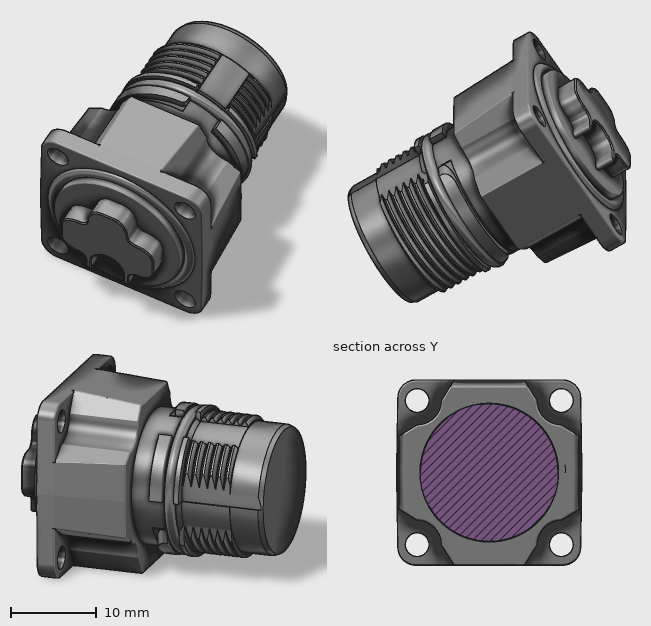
import cadquery as cq
import math

total_length = 30.4
disc_front = 2.4
flange_front = 3.53
flange_back = 5.8
body_back = 14.35
lug_front = 16.57
lug_back = 18.33
collar_front = 19.82
thread_front = 20.43
thread_back = 26.35

flange_size = 21.6
flange_half = flange_size / 2
side_ridge = 0.18
flange_corner_radius = 2.15
flange_edge_fillet = 0.25
hole_offset = 8.4
hole_radius = 1.37

body_taper = 0.7
body_edge_fillet = 0.25
arm_edge_fillet = 0.18
scoop_radius = 2.83
arm_half_width = 4.07

disc_radius = 8.33
disc_edge_fillet = 0.12
neck_radius = 8.1
undercut_radius = 8.03
barrel_radius = 7.78
collar_radius = 7.72
collar_bevel_width = 0.25
collar_bevel_length = 0.58
barrel_flat = 7.57
ring_radius = 8.88
lug_edge_fillet = 0.12
face_seal_radius = 9.03
face_seal_section = 0.7
face_seal_y = 3.7
barrel_seal_radius = 8.12
barrel_seal_section = 0.67
barrel_seal_y = 19.1

thread_pitch = 1.0
thread_radius = 8.33
thread_root_radius = 7.8
thread_crest_width = 0.25
groove_floor_width = 0.1
thread_turns = 9
groove_start = 18.57

top_gap_x = 1.1
top_gap_angle = 53.0
side_gap_lean = 8.0
lead_in_radius = 1.15
small_lead_in_radius = 0.55
lug_thickness = 1.55
ramp_end_thickness = 1.15

lobe_top = 6.1
lobe_flat_half = 0.8
lobe_side_radius = 2.7
lobe_half_width = 2.65
wing_half_width = 6.08
wing_half_height = 2.8
wing_side_radius = 1.65
wing_flat_half = 1.0
inner_corner_radius = 1.0
leg_outer = 2.83
leg_end = -5.23
arch_radius = 2.15
arch_top = -1.52
insert_edge_chamfer = 0.15

overlap = 0.3
reach = 18.25


def section_at(y):
    """Sketching plane across the axis, with X to the right and Z up."""
    return cq.Workplane("XZ", origin=(0, y, 0))


def prism(outline, y_start, y_end):
    """Straight solid along +Y from an outline given as (x, z) points."""
    return section_at(y_start).polyline(outline).close().extrude(y_start - y_end)


def cylinder(radius, y_start, y_end):
    return section_at(y_start).circle(radius).extrude(y_start - y_end)


def tube(outer_radius, inner_radius, y_start, y_end):
    return section_at(y_start).circle(outer_radius).circle(inner_radius).extrude(y_start - y_end)


def seal(ring_centre_radius, section_radius, y):
    """Ring of round section about the Y axis."""
    section = cq.Workplane("XY").moveTo(-ring_centre_radius, y).circle(section_radius)
    return section.revolve(360, (0, 0, 0), (0, 1, 0))


def fillet_edges_at(solid, points, radius):
    """Round the edges whose middles lie nearest to the given points."""
    for point in points:
        solid = solid.edges(cq.selectors.NearestToPointSelector(point)).fillet(radius)
    return solid


def square_outline(half):
    """Outline of the given half width; left and right sides are ridged, the bottom stays in place."""
    corner_x = half - side_ridge
    right = [(corner_x, -flange_half), (half, 0), (corner_x, half)]
    left = [(-x, z) for x, z in reversed(right)]
    return right + left


def make_flange():
    flange = prism(square_outline(flange_half), flange_front, flange_back)
    middle_y = (flange_front + flange_back) / 2
    corners = [(x * flange_half, middle_y, z * flange_half) for x in (-1, 1) for z in (-1, 1)]
    flange = fillet_edges_at(flange, corners, flange_corner_radius)
    return flange.faces("<Y or >Y").edges().fillet(flange_edge_fillet)


def scoop(x_side, z_side):
    """Clearance behind one screw hole: a round trough that opens outwards in both directions."""
    near = hole_offset - scoop_radius
    diagonal = hole_offset - scoop_radius * math.sqrt(0.5)
    slope = (near - arm_half_width) / (flange_half - hole_offset)
    far = near - slope * (reach - hole_offset)

    def at(x, z):
        return (x_side * x, z_side * z)

    return (
        section_at(flange_back)
        .moveTo(*at(hole_offset, near))
        .threePointArc(at(diagonal, diagonal), at(near, hole_offset))
        .lineTo(*at(far, reach))
        .lineTo(*at(reach, reach))
        .lineTo(*at(reach, far))
        .close()
        .extrude(flange_back - total_length)
    )


def make_body():
    foot_start = flange_back - flange_edge_fillet - 0.05
    foot = prism(square_outline(flange_half), foot_start, flange_back)
    foot_width = 2 * arm_half_width
    foot_arms = section_at(foot_start).rect(foot_width, 2 * reach).extrude(foot_start - flange_back)
    foot_arms = foot_arms.union(
        section_at(foot_start).rect(2 * reach, foot_width).extrude(foot_start - flange_back)
    )
    foot = foot.intersect(foot_arms)

    body = (
        section_at(flange_back)
        .polyline(square_outline(flange_half))
        .close()
        .workplane(offset=flange_back - body_back)
        .polyline(square_outline(flange_half - body_taper))
        .close()
        .loft(ruled=True)
    )
    signs = [(x, z) for x in (-1, 1) for z in (-1, 1)]
    for x_side, z_side in signs:
        body = body.cut(scoop(x_side, z_side))

    middle_y = (flange_back + body_back) / 2
    near = hole_offset - scoop_radius
    arm_edges = []
    for x_side, z_side in signs:
        for x, z in ((near, hole_offset), (arm_half_width, flange_half)):
            arm_edges.append((x_side * x, middle_y, z_side * z))
            arm_edges.append((x_side * z, middle_y, z_side * x))
    body = fillet_edges_at(body, arm_edges, arm_edge_fillet)
    body = body.faces(">Y").edges().fillet(body_edge_fillet)
    return body.union(foot)


def two_arc_corner(start, end, end_radius):
    """Corner from level at start to upright at end, made of two arcs that blend smoothly.

    Returns the point where the arcs meet and the radius of the first arc.
    """
    across = end[0] - end_radius - start[0]
    rise = end[1] - start[1]
    start_radius = (end_radius**2 - across**2 - rise**2) / (2 * (rise + end_radius))
    reach_past = end_radius / (start_radius - end_radius)
    joint_x = end[0] - end_radius + across * reach_past
    joint_z = end[1] + (end[1] - start[1] + start_radius) * reach_past
    return (joint_x, joint_z), start_radius


def make_insert():
    """Clover-shaped key with two thin legs; the right half is drawn and mirrored."""
    inner = inner_corner_radius
    leg_radius = (leg_outer - arch_radius) / 2
    leg_middle = (leg_outer + arch_radius) / 2
    arch_centre = arch_top - arch_radius
    arch_step = arch_radius * math.sqrt(0.5)

    lobe_start = (lobe_flat_half, lobe_top)
    lobe_end = (lobe_half_width, wing_half_height + inner)
    lobe_joint, lobe_shoulder_radius = two_arc_corner(lobe_start, lobe_end, lobe_side_radius)

    wing_start = (leg_outer + inner, wing_half_height)
    wing_end = (wing_half_width, wing_flat_half)
    wing_joint, wing_shoulder_radius = two_arc_corner(wing_start, wing_end, wing_side_radius)

    half = (
        section_at(0)
        .moveTo(0, lobe_top)
        .lineTo(*lobe_start)
        .radiusArc(lobe_joint, lobe_shoulder_radius)
        .radiusArc(lobe_end, lobe_side_radius)
        .radiusArc((lobe_half_width + inner, wing_half_height), -inner)
        .lineTo(*wing_start)
        .radiusArc(wing_joint, wing_shoulder_radius)
        .radiusArc(wing_end, wing_side_radius)
        .lineTo(wing_end[0], -wing_end[1])
        .radiusArc((wing_joint[0], -wing_joint[1]), wing_side_radius)
        .radiusArc((wing_start[0], -wing_start[1]), wing_shoulder_radius)
        .radiusArc((leg_outer, -wing_half_height - inner), -inner)
        .lineTo(leg_outer, leg_end + leg_radius)
        .threePointArc((leg_middle, leg_end), (arch_radius, leg_end + leg_radius))
        .lineTo(arch_radius, arch_centre)
        .threePointArc((arch_step, arch_centre + arch_step), (0, arch_top))
        .close()
        .extrude(-disc_front - overlap)
    )
    insert = half.union(half.mirror("YZ")).clean()
    return insert.faces("<Y").edges().chamfer(insert_edge_chamfer)


def make_barrel():
    """Disc, neck and barrel in one turned profile, with two flats on the barrel."""
    core_radius = barrel_flat - overlap
    turned = (
        cq.Workplane("XY")
        .moveTo(0, disc_front)
        .lineTo(disc_radius, disc_front)
        .lineTo(disc_radius, flange_front + overlap)
        .lineTo(neck_radius, flange_front + overlap)
        .lineTo(neck_radius, collar_front)
        .lineTo(barrel_radius, thread_front)
        .lineTo(core_radius, thread_front)
        .lineTo(core_radius, thread_back)
        .lineTo(collar_radius, thread_back)
        .lineTo(collar_radius, total_length - collar_bevel_length)
        .lineTo(collar_radius - collar_bevel_width, total_length)
        .lineTo(0, total_length)
        .close()
        .revolve(360, (0, 0, 0), (0, 1, 0))
    )
    turned = turned.faces("<Y").edges().fillet(disc_edge_fillet)
    undercut = tube(ring_radius, undercut_radius, lug_front, lug_back).cut(make_gaps())
    return turned.cut(make_flats()).cut(undercut)


def make_flats():
    """Space beside the upper half of the barrel, outside its two flats."""
    outline = [(barrel_flat, 0), (reach, 0), (reach, reach), (barrel_flat, reach)]
    right = prism(outline, thread_front, total_length)
    return right.union(right.mirror("YZ"))


def make_gaps():
    """Three spaces along the barrel where the thread and the rings are left out."""
    angle = math.radians(top_gap_angle)
    top_outline = [
        (top_gap_x, top_gap_x * math.tan(angle)),
        (top_gap_x, reach),
        (reach, reach * math.tan(angle)),
    ]
    lean = reach * math.tan(math.radians(side_gap_lean))
    side_outline = [(barrel_flat, 0), (reach, 0), (reach, -reach), (barrel_flat - lean, -reach)]
    top_gap = prism(top_outline, lug_front - overlap, total_length)
    side_gap = prism(side_outline, lug_front - overlap, total_length)
    return top_gap.union(side_gap).union(side_gap.mirror("YZ"))


def make_thread():
    """Threaded length of the barrel: a helical groove, interrupted by the gaps and the flats."""
    depth = thread_radius - thread_root_radius
    floor_half = groove_floor_width / 2
    mouth_half = (thread_pitch - thread_crest_width) / 2
    run_on = 0.1
    outer_half = mouth_half + (mouth_half - floor_half) * run_on / depth
    outer = thread_radius + run_on
    groove_section = [
        (thread_root_radius, -floor_half),
        (outer, -outer_half),
        (outer, outer_half),
        (thread_root_radius, floor_half),
    ]
    helix = cq.Wire.makeHelix(thread_pitch, thread_pitch, thread_root_radius)
    turn = (
        cq.Workplane("XZ")
        .polyline(groove_section)
        .close()
        .sweep(cq.Workplane(helix), isFrenet=True)
        .rotate((0, 0, 0), (1, 0, 0), -90)
    )
    blank = cylinder(thread_radius, thread_front, thread_back).cut(make_gaps())
    blank = blank.union(cylinder(barrel_radius, thread_front, thread_back))
    thread = blank.cut(make_flats())
    for turn_number in range(thread_turns):
        turn_start = groove_start + turn_number * thread_pitch
        thread = thread.cut(turn.translate((0, turn_start, 0)), clean=False)
    return thread


def make_lugs():
    """Front locking ring in three segments: one ramped, two of even thickness."""
    inner = undercut_radius - overlap
    ramp_face = lug_back - ramp_end_thickness

    ramp_window = (
        cq.Workplane("XY")
        .polyline([(top_gap_x, lug_back), (top_gap_x, ramp_face), (-ring_radius, lug_front), (-ring_radius, lug_back)])
        .close()
        .extrude(reach)
    )
    ramp_corner = (top_gap_x, ramp_face, reach / 2)
    ramp_window = fillet_edges_at(ramp_window, [ramp_corner], small_lead_in_radius)
    ramped = tube(ring_radius, inner, lug_front, lug_back)
    ramped = ramped.faces(">Y").edges().fillet(lug_edge_fillet).intersect(ramp_window)

    even_front = lug_back - lug_thickness
    even = tube(ring_radius, inner, even_front, lug_back)
    even = even.faces(">Y").edges().fillet(lug_edge_fillet).cut(make_gaps())
    upper_left = cq.Workplane("XY").box(reach, total_length, reach, centered=False)
    upper_left = upper_left.translate((top_gap_x - reach, 0, 0))
    even = even.cut(upper_left)
    middle_radius = (inner + ring_radius) / 2
    end_angle = math.radians(-30)
    end_x = middle_radius * math.cos(end_angle)
    end_z = middle_radius * math.sin(end_angle)
    ends = [(-end_x, even_front, end_z), (end_x, even_front, end_z)]
    even = fillet_edges_at(even, ends, lead_in_radius)
    return ramped.union(even)


def make_holes():
    spots = [(x * hole_offset, z * hole_offset) for x in (-1, 1) for z in (-1, 1)]
    return section_at(0).pushPoints(spots).circle(hole_radius).extrude(-flange_back - overlap)


collar = tube(ring_radius, barrel_radius - overlap, collar_front, thread_front).cut(make_gaps())

result = (
    make_flange()
    .cut(make_holes())
    .union(make_body())
    .union(make_barrel())
    .union(make_insert())
    .union(seal(face_seal_radius, face_seal_section, face_seal_y))
    .union(make_lugs())
    .union(collar)
    .union(make_thread())
    .union(seal(barrel_seal_radius, barrel_seal_section, barrel_seal_y))
)